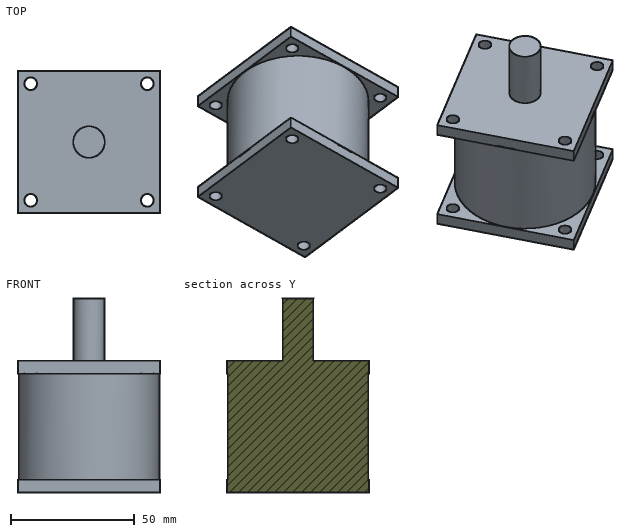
import cadquery as cq

total_height = 78.5
plate_side = 57.4
plate_thickness = 5.25
shaft_length = 25.1
shaft_diameter = 12.7
body_diameter = 57.0
hole_diameter = 5.0
hole_spacing = 47.1

housing_height = total_height - shaft_length
top_plate_base = housing_height - plate_thickness


def end_plate(base_height):
    """Square plate with a through hole near each corner."""
    return (
        cq.Workplane("XY", origin=(0, 0, base_height))
        .rect(plate_side, plate_side)
        .rect(hole_spacing, hole_spacing, forConstruction=True)
        .vertices()
        .circle(hole_diameter / 2)
        .extrude(plate_thickness)
    )


def cylinder(diameter, base_height, top_height):
    """Cylinder about the central axis between two heights."""
    return (
        cq.Workplane("XY", origin=(0, 0, base_height))
        .circle(diameter / 2)
        .extrude(top_height - base_height)
    )


bottom_plate = end_plate(0)
top_plate = end_plate(top_plate_base)
body = cylinder(body_diameter, plate_thickness, top_plate_base)
shaft = cylinder(shaft_diameter, housing_height, total_height)

result = bottom_plate.union(body).union(top_plate).union(shaft)